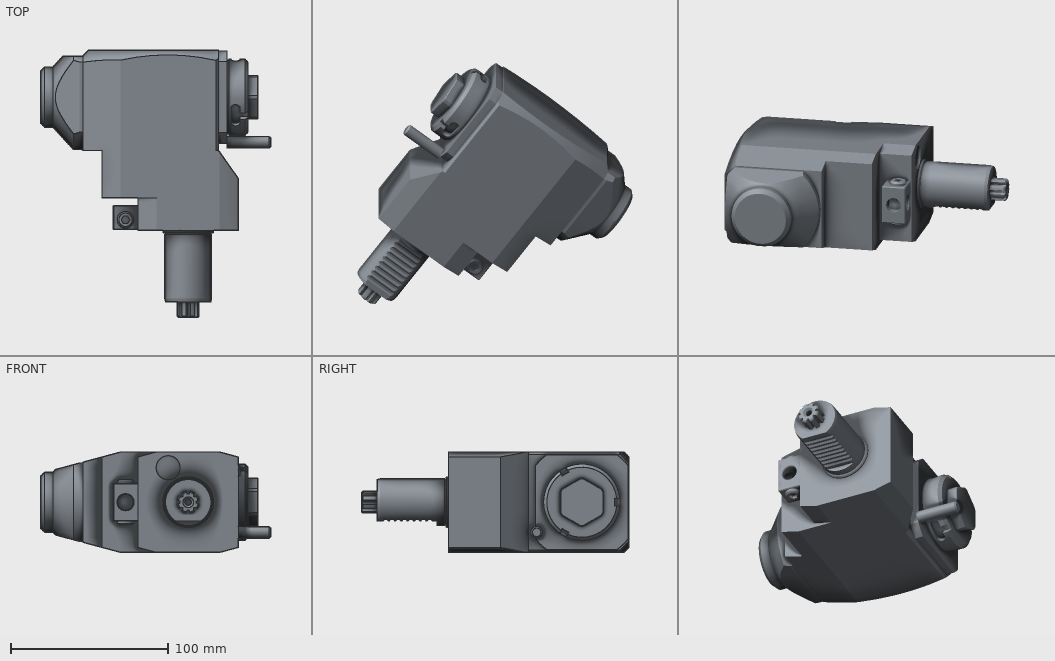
import cadquery as cq
import math


HALF_SIZE = 32.0
BEVEL_RUN = 11.9
BEVEL_SLOPE = math.tan(math.radians(15))
BODY_BACK = 114.8
BODY_LEFT = -66.8
BODY_RIGHT = 19.4
BODY_SHOULDER = 50.8
MID_LEFT = -54.9
MID_FRONT = 20.7
FLANK_TOP = 33.0
TAPER_START = MID_LEFT + BEVEL_RUN
CORNER_CHAMFER = 3.4
RIGHT_EDGE_CHAMFER = 1.7

CROWN_X = -13.1
CROWN_RADIUS = 129.2
CROWN_EDGE_Z = 28.9
CROWN_DEPTH = 68.0

RECESS_X = -12.8
RECESS_Z = 22.0
RECESS_RADIUS = 7.6
RECESS_DEPTH = 1.7

SPINDLE_Y = 84.8
HEAD_RADIUS = 33.5
HEAD_FLAT_Z = 25.0
HEAD_FLAT_BACK = 110.8
HEAD_LEFT = -93.8
NECK_RADIUS = 19.2
NECK_CHAMFER = 2.5
NECK_END = -86.0
CONE_END = -73.0

PLATE_RIGHT = 24.8
PLATE_RADIUS = 37.5
PLATE_HALF_LENGTH = 29.4
PLATE_HALF_HEIGHT = 30.1
COLLAR_LEFT = 25.8
COLLAR_RIGHT = 38.0
COLLAR_RADIUS = 24.3
COLLAR_CHAMFER = 2.0
COLLAR_GROOVE_RADIUS = 23.5
SLOT_X = 30.1
SLOT_WIDTH = 6.0
SLOT_LENGTH = 15.6
SLOT_DEPTH = 3.4
SLOT_TAIL_WIDTH = 4.8
SLOT_COUNT = 3
NUT_RIGHT = 44.5
NUT_FLATS = 27.5
NUT_CORNER_RADIUS = 15.3
NUT_CHAMFER = 0.42

PIN_Y = 56.1
PIN_Z = -19.2
PIN_RADIUS = 3.7
PIN_RIGHT = 52.5
PIN_CHAMFER = 1.0

FLANGE_RADIUS = 16.2
FLANGE_LENGTH = 1.7
FLANGE_CHAMFER = 0.7
RELIEF_RADIUS = 14.5
RELIEF_END = 2.5
SHANK_RADIUS = 15.0
SHANK_END = 45.4
SHANK_CHAMFER_LENGTH = 2.0
SHANK_END_RADIUS = 14.5
FLAT_Z = -11.9
FLAT_START = 7.3
TOOTH_GROOVES = 8
TOOTH_FIRST = 11.9
TOOTH_LAST = 40.0
TOOTH_PITCH = (TOOTH_LAST - TOOTH_FIRST) / (TOOTH_GROOVES - 1)
TOOTH_TOP_WIDTH = 3.4
TOOTH_ROOT_WIDTH = 1.4
TOOTH_DEPTH = 1.0

SPLINE_END = BODY_BACK - 170
SPLINE_RADIUS = 7.1
SPLINE_ROOT_RADIUS = 5.1
SPLINE_TEETH = 8
SPLINE_TOOTH_WIDTH = 2.9
SPLINE_CHAMFER = 0.8
SPLINE_BORE_RADIUS = 2.0
SPLINE_BORE_MOUTH = 3.4
SPLINE_BORE_DEPTH = 6.8

BLOCK_LEFT = -47.8
BLOCK_FRONT = 0.5
BLOCK_BACK = 16.0
BLOCK_HALF_HEIGHT = 12.0
BLOCK_CHAMFER = 0.5
BLOCK_X = (BLOCK_LEFT - HALF_SIZE) / 2
SCREW_Y = 6.8
SCREW_RADIUS = 5.3
SCREW_HEIGHT = 2.4
SCREW_CHAMFER = 1.0
SCREW_SOCKET = 5.5
SCREW_SOCKET_DEPTH = 2.5
FRONT_PORT_RADIUS = 5.0
FRONT_PORT_DEPTH = 13.1
FRONT_PORT_CHAMFER = 0.5
SIDE_PORT_Y = (BLOCK_FRONT + BLOCK_BACK) / 2
SIDE_PORT_RADIUS = 4.8
SIDE_PORT_DEPTH = 7.6
SIDE_DRILL_RADIUS = 1.28
SIDE_DRILL_DEPTH = 14.6


def prism_y(points, start, end):
    """Extrude an (x, z) outline along Y."""
    return cq.Workplane("XZ", origin=(0, start, 0)).polyline(points).close().extrude(start - end)


def rod_x(y, z, radius, start, end):
    """Cylinder along X."""
    return cq.Workplane("YZ", origin=(start, y, z)).circle(radius).extrude(end - start)


def mirrored_outline(upper):
    """Close an upper (x, z) edge with its mirror image below z = 0."""
    return upper + [(x, -z) for x, z in reversed(upper)]


def box_between(low, high):
    """Box between two opposite corners."""
    sizes = [b - a for a, b in zip(low, high)]
    return cq.Workplane("XY").box(*sizes, centered=False).translate(low)


def taper_height(x):
    """Half height of the long left taper at x."""
    return HALF_SIZE - (TAPER_START - x) * BEVEL_SLOPE


def crown_cone(side):
    """Cone whose rim bevels the back edge on the +Z (side = 1) or -Z (side = -1) face."""
    center_z = side * (CROWN_EDGE_Z - CROWN_RADIUS)
    cone = cq.Solid.makeCone(
        CROWN_RADIUS + CROWN_DEPTH, CROWN_RADIUS, CROWN_DEPTH,
        pnt=cq.Vector(CROWN_X, BODY_BACK - CROWN_DEPTH, center_z), dir=cq.Vector(0, 1, 0))
    return cq.Workplane(cone)


def make_body():
    bevel_z = HALF_SIZE - BEVEL_RUN * BEVEL_SLOPE
    bevel_x = HALF_SIZE - BEVEL_RUN
    right_bevel = [(bevel_x, HALF_SIZE), (HALF_SIZE, bevel_z)]
    block_outline = mirrored_outline([(-HALF_SIZE, bevel_z), (-bevel_x, HALF_SIZE)] + right_bevel)
    mounting_block = prism_y(block_outline, 0, MID_FRONT)

    main_outline = mirrored_outline(
        [(BODY_LEFT, taper_height(BODY_LEFT)), (TAPER_START, HALF_SIZE)] + right_bevel)
    main = prism_y(main_outline, MID_FRONT, BODY_BACK)
    plan = (
        cq.Workplane("XY", origin=(0, 0, -HALF_SIZE))
        .moveTo(MID_LEFT, MID_FRONT)
        .lineTo(HALF_SIZE, MID_FRONT)
        .lineTo(HALF_SIZE, FLANK_TOP)
        .lineTo(BODY_RIGHT, BODY_SHOULDER)
        .lineTo(BODY_RIGHT, BODY_BACK)
        .lineTo(BODY_LEFT + CORNER_CHAMFER, BODY_BACK)
        .lineTo(BODY_LEFT, BODY_BACK - CORNER_CHAMFER)
        .lineTo(BODY_LEFT, BODY_SHOULDER)
        .lineTo(MID_LEFT, BODY_SHOULDER)
        .close()
        .extrude(2 * HALF_SIZE)
    )
    main = main.intersect(plan)

    for side in (1, -1):
        corner = [
            (BODY_RIGHT, side * HALF_SIZE),
            (BODY_RIGHT - RIGHT_EDGE_CHAMFER, side * HALF_SIZE),
            (BODY_RIGHT, side * (HALF_SIZE - RIGHT_EDGE_CHAMFER)),
        ]
        main = main.cut(prism_y(corner, BODY_SHOULDER, BODY_BACK))

    rear_low = (BODY_LEFT, BODY_BACK - CROWN_DEPTH, -HALF_SIZE)
    rear_high = (HALF_SIZE, BODY_BACK, HALF_SIZE)
    for side in (1, -1):
        main = main.cut(box_between(rear_low, rear_high).cut(crown_cone(side)))

    recess = cq.Workplane("XZ", origin=(RECESS_X, 0, RECESS_Z)).circle(RECESS_RADIUS)
    return mounting_block.union(main).cut(recess.extrude(-RECESS_DEPTH))


def make_head():
    """Turned nose trimmed by tapered flats and a flat back."""
    profile = [
        (BODY_LEFT, 0),
        (BODY_LEFT, HEAD_RADIUS),
        (CONE_END, HEAD_RADIUS),
        (NECK_END, NECK_RADIUS),
        (HEAD_LEFT + NECK_CHAMFER, NECK_RADIUS),
        (HEAD_LEFT, NECK_RADIUS - NECK_CHAMFER),
        (HEAD_LEFT, 0),
    ]
    turned = cq.Workplane("XY").polyline(profile).close().revolve(360, (0, 0), (1, 0))
    turned = turned.translate((0, SPINDLE_Y, 0))
    flat_start = TAPER_START - (HALF_SIZE - HEAD_FLAT_Z) / BEVEL_SLOPE
    upper = [(HEAD_LEFT, taper_height(HEAD_LEFT)), (flat_start, HEAD_FLAT_Z), (BODY_LEFT, HEAD_FLAT_Z)]
    trim = prism_y(mirrored_outline(upper), SPINDLE_Y - HEAD_RADIUS, HEAD_FLAT_BACK)
    return turned.intersect(trim)


def make_plate():
    disc = rod_x(SPINDLE_Y, 0, PLATE_RADIUS, BODY_RIGHT, PLATE_RIGHT)
    trim = box_between(
        (BODY_RIGHT, SPINDLE_Y - PLATE_HALF_LENGTH, -PLATE_HALF_HEIGHT),
        (PLATE_RIGHT, SPINDLE_Y + PLATE_HALF_LENGTH, PLATE_HALF_HEIGHT))
    return disc.intersect(trim)


def collar_slot(angle):
    """Wrench slot with a narrow tail to the collar's end face; angle runs from +Y towards +Z."""
    pocket = cq.Workplane("XZ", origin=(SLOT_X, 0, 0)).slot2D(SLOT_LENGTH, SLOT_WIDTH, 90)
    pocket = pocket.extrude(-COLLAR_RADIUS)
    tail = box_between(
        (SLOT_X, 0, -SLOT_TAIL_WIDTH / 2), (COLLAR_RIGHT, COLLAR_RADIUS, SLOT_TAIL_WIDTH / 2))
    floor = rod_x(0, 0, COLLAR_RADIUS - SLOT_DEPTH, COLLAR_LEFT, COLLAR_RIGHT)
    slot = pocket.union(tail).cut(floor)
    return slot.rotate((0, 0, 0), (1, 0, 0), angle).translate((0, SPINDLE_Y, 0))


def make_collar():
    collar = rod_x(SPINDLE_Y, 0, COLLAR_RADIUS, COLLAR_LEFT, COLLAR_RIGHT)
    collar = collar.faces(">X").chamfer(COLLAR_CHAMFER)
    for index in range(SLOT_COUNT):
        collar = collar.cut(collar_slot(index * 360 / SLOT_COUNT))
    return collar.union(rod_x(SPINDLE_Y, 0, COLLAR_GROOVE_RADIUS, PLATE_RIGHT, COLLAR_LEFT))


def make_nut():
    """Hexagon with two flats facing +Y and -Y and turned-down corners."""
    corner_diameter = NUT_FLATS / math.cos(math.radians(30))
    nut_length = NUT_RIGHT - COLLAR_RIGHT
    hexagon = (
        cq.Workplane("YZ", origin=(COLLAR_RIGHT, SPINDLE_Y, 0))
        .transformed(rotate=(0, 0, 90))
        .polygon(6, corner_diameter)
        .extrude(nut_length)
    )
    nut = hexagon.intersect(rod_x(SPINDLE_Y, 0, NUT_CORNER_RADIUS, COLLAR_RIGHT, NUT_RIGHT))
    return nut.faces(">X").chamfer(NUT_CHAMFER)


def make_pin():
    return rod_x(PIN_Y, PIN_Z, PIN_RADIUS, PLATE_RIGHT, PIN_RIGHT).faces(">X").chamfer(PIN_CHAMFER)


def make_shank():
    profile = [
        (0, 0),
        (FLANGE_RADIUS, 0),
        (FLANGE_RADIUS, FLANGE_CHAMFER - FLANGE_LENGTH),
        (FLANGE_RADIUS - FLANGE_CHAMFER, -FLANGE_LENGTH),
        (RELIEF_RADIUS, -FLANGE_LENGTH),
        (RELIEF_RADIUS, -RELIEF_END),
        (SHANK_RADIUS, -RELIEF_END),
        (SHANK_RADIUS, SHANK_CHAMFER_LENGTH - SHANK_END),
        (SHANK_END_RADIUS, -SHANK_END),
        (0, -SHANK_END),
    ]
    shank = cq.Workplane("XY").polyline(profile).close().revolve(360, (0, 0), (0, 1))
    shank = shank.cut(box_between(
        (-SHANK_RADIUS, -SHANK_END, -SHANK_RADIUS), (SHANK_RADIUS, -FLAT_START, FLAT_Z)))

    for index in range(TOOTH_GROOVES):
        center = -TOOTH_FIRST - index * TOOTH_PITCH
        groove = (
            cq.Workplane("YZ")
            .moveTo(center - TOOTH_TOP_WIDTH / 2, FLAT_Z)
            .lineTo(center + TOOTH_TOP_WIDTH / 2, FLAT_Z)
            .lineTo(center + TOOTH_ROOT_WIDTH / 2, FLAT_Z + TOOTH_DEPTH)
            .lineTo(center - TOOTH_ROOT_WIDTH / 2, FLAT_Z + TOOTH_DEPTH)
            .close()
            .extrude(SHANK_RADIUS, both=True)
        )
        shank = shank.cut(groove)
    return shank


def make_spline():
    face = cq.Workplane("XZ", origin=(0, -SHANK_END, 0))
    length = -SHANK_END - SPLINE_END
    spline = face.circle(SPLINE_ROOT_RADIUS).extrude(length)
    for index in range(SPLINE_TEETH):
        angle = (index + 0.5) * 360 / SPLINE_TEETH
        tooth = box_between(
            (0, SPLINE_END, -SPLINE_TOOTH_WIDTH / 2),
            (SPLINE_RADIUS + 1.7, -SHANK_END, SPLINE_TOOTH_WIDTH / 2))
        spline = spline.union(tooth.rotate((0, 0, 0), (0, 1, 0), angle))
    envelope = face.circle(SPLINE_RADIUS).extrude(length).faces("<Y").chamfer(SPLINE_CHAMFER)
    spline = spline.intersect(envelope)

    mouth_depth = SPLINE_BORE_MOUTH - SPLINE_BORE_RADIUS
    bore_profile = [
        (0, SPLINE_END),
        (SPLINE_BORE_MOUTH, SPLINE_END),
        (SPLINE_BORE_RADIUS, SPLINE_END + mouth_depth),
        (SPLINE_BORE_RADIUS, SPLINE_END + SPLINE_BORE_DEPTH),
        (0, SPLINE_END + SPLINE_BORE_DEPTH),
    ]
    bore = cq.Workplane("XY").polyline(bore_profile).close().revolve(360, (0, 0), (0, 1))
    return spline.cut(bore)


def make_screw():
    """Socket-head plug standing on the upper face of the coolant block."""
    top = BLOCK_HALF_HEIGHT + SCREW_HEIGHT
    head = (
        cq.Workplane("XY", origin=(BLOCK_X, SCREW_Y, BLOCK_HALF_HEIGHT))
        .circle(SCREW_RADIUS)
        .extrude(SCREW_HEIGHT)
        .faces(">Z")
        .chamfer(SCREW_CHAMFER)
    )
    socket = cq.Workplane("XY", origin=(BLOCK_X, SCREW_Y, top)).polygon(6, SCREW_SOCKET)
    return head.cut(socket.extrude(-SCREW_SOCKET_DEPTH))


def make_coolant_block():
    block = box_between(
        (BLOCK_LEFT, BLOCK_FRONT, -BLOCK_HALF_HEIGHT), (-HALF_SIZE, BLOCK_BACK, BLOCK_HALF_HEIGHT))
    block = block.edges("not >X").chamfer(BLOCK_CHAMFER)
    front_port = cq.Workplane("XZ", origin=(BLOCK_X, BLOCK_FRONT, 0)).circle(FRONT_PORT_RADIUS)
    block = block.cut(front_port.extrude(-FRONT_PORT_DEPTH))
    block = block.faces("<Y").edges("%CIRCLE").chamfer(FRONT_PORT_CHAMFER)
    side_ports = ((SIDE_PORT_RADIUS, SIDE_PORT_DEPTH), (SIDE_DRILL_RADIUS, SIDE_DRILL_DEPTH))
    for radius, depth in side_ports:
        block = block.cut(rod_x(SIDE_PORT_Y, 0, radius, BLOCK_LEFT, BLOCK_LEFT + depth))
    screw = make_screw()
    return block.union(screw).union(screw.mirror("XY"))


result = make_body()
attachments = (
    make_head, make_plate, make_collar, make_nut, make_pin,
    make_shank, make_spline, make_coolant_block,
)
for make_attachment in attachments:
    result = result.union(make_attachment())